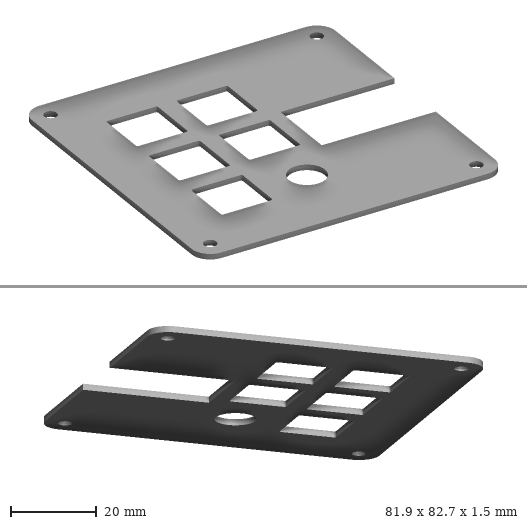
import cadquery as cq

plate_width = 81.9
plate_depth = 82.65
plate_thickness = 1.5
corner_radius = 5.05

mount_hole_diameter = 3.4
mount_spacing_x = plate_width - 2 * corner_radius
mount_spacing_y = plate_depth - 2 * corner_radius

notch_width = 18.6
notch_depth = 31.1

key_size = 14.0
key_corner_radius = 0.5
key_pitch = 19.1
middle_key_x = -0.4
front_row_y = -19.9
back_row_y = front_row_y + key_pitch
left_key_x = middle_key_x - key_pitch
right_key_x = middle_key_x + key_pitch
key_centers = [
    (left_key_x, front_row_y),
    (middle_key_x, front_row_y),
    (right_key_x, front_row_y),
    (left_key_x, back_row_y),
    (middle_key_x, back_row_y),
]

knob_hole_diameter = 9.75
knob_hole_center = (19.6, 0)


def block(width, depth):
    """Block as thick as the plate, centred on the origin."""
    return cq.Workplane("XY").box(width, depth, plate_thickness)


plate = block(plate_width, plate_depth).edges("|Z").fillet(corner_radius)

mount_holes = (
    cq.Workplane("XY")
    .rect(mount_spacing_x, mount_spacing_y, forConstruction=True)
    .vertices()
    .circle(mount_hole_diameter / 2)
    .extrude(plate_thickness / 2, both=True)
)

knob_hole = (
    cq.Workplane("XY")
    .center(*knob_hole_center)
    .circle(knob_hole_diameter / 2)
    .extrude(plate_thickness / 2, both=True)
)

notch_center_y = (plate_depth - notch_depth) / 2
notch = block(notch_width, notch_depth).translate((0, notch_center_y, 0))

key_cutter = block(key_size, key_size).edges("|Z").fillet(key_corner_radius)

result = plate.cut(mount_holes).cut(knob_hole).cut(notch)
for key_x, key_y in key_centers:
    result = result.cut(key_cutter.translate((key_x, key_y, 0)))